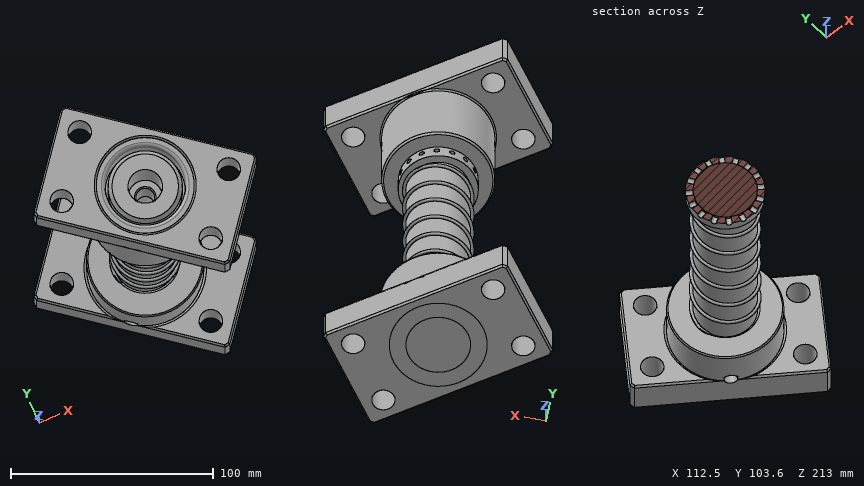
import cadquery as cq
import math

set_angle = -36.383
total_height = 212.98

plate_length = 100.0
plate_width = 58.0
plate_thickness = 20.0
corner_chamfer = 2.0
face_chamfer = 1.0
bolt_spacing_x = 76.0
bolt_spacing_y = 36.0
bolt_hole_diameter = 11.5
bore_radius = 24.2
bore_chamfer = 1.0
upper_plate_bottom = total_height - plate_thickness

collar_radius = plate_width / 2
collar_height = 20.0
collar_chamfer = 0.7
collar_top = plate_thickness + collar_height
seat_chamfer = 1.3
collar_bore_chamfer = 1.2
pin_hole_diameter = 7.0
pin_hole_depth = 10.0

pillar_radius = 16.0
pillar_recess = 3.0
pillar_top = total_height - pillar_recess
head_radius = 18.4
head_height = 12.0
head_chamfer = 2.0
tapped_hole_radius = 8.5
tapped_hole_depth = 25.0
core_hole_radius = 4.6
core_hole_chamfer = 0.7
core_hole_depth = 45.0
drill_tip_angle = 118.0
drill_tip_height = core_hole_radius / math.tan(math.radians(drill_tip_angle / 2))

bushing_radius = 28.0
bushing_recess = 0.5
bushing_top = total_height - bushing_recess
bushing_length_below_plate = 40.0
bushing_bottom = upper_plate_bottom - bushing_length_below_plate
bushing_bore_radius = 19.8
bushing_bore_rounding = 1.9
shoulder_flare = 0.8
bushing_end_chamfer = 1.0

cage_radius = bushing_bore_radius
cage_protrusion = 8.2
cage_bottom = bushing_bottom - cage_protrusion
cage_top = pillar_top - head_height
ball_count = 16
ball_pocket_diameter = 2.7
ball_row_offset = 5.0
ball_row_height = cage_bottom + ball_row_offset

wire_diameter = 1.7
spring_clearance = 0.05
spring_pitch = 15.93
spring_radius = pillar_radius + spring_clearance + wire_diameter / 2
spring_start_angle = 180.0 - set_angle
spring_start_offset = 0.2


def cylinder(radius, bottom, top):
    return cq.Workplane("XY").workplane(offset=bottom).circle(radius).extrude(top - bottom)


def cone(bottom_radius, top_radius, bottom, top):
    solid = cq.Solid.makeCone(bottom_radius, top_radius, top - bottom, cq.Vector(0, 0, bottom))
    return cq.Workplane("XY").newObject([solid])


def turn(body, angle):
    return body.rotate((0, 0, 0), (0, 0, 1), angle)


def make_plate():
    """Drilled plate with its bore, its outer face down on Z = 0."""
    plate = cq.Workplane("XY").rect(plate_length, plate_width).extrude(plate_thickness)
    plate = plate.edges("|Z").chamfer(corner_chamfer)
    plate = plate.faces("<Z or >Z").chamfer(face_chamfer)
    bolts = (
        cq.Workplane("XY")
        .rect(bolt_spacing_x, bolt_spacing_y, forConstruction=True)
        .vertices()
        .circle(bolt_hole_diameter / 2)
        .extrude(plate_thickness)
    )
    return plate.cut(bolts).cut(cylinder(bore_radius, 0, plate_thickness))


def make_pin_hole():
    """Radial pin hole where the collar meets the front of the lower plate."""
    return (
        cq.Workplane("XZ", origin=(0, -plate_width / 2, plate_thickness))
        .circle(pin_hole_diameter / 2)
        .extrude(pin_hole_depth, both=True)
    )


def make_lower_plate():
    """Plate with a conical-sided shallow seat for the collar."""
    seat = cone(collar_radius, collar_radius + seat_chamfer, plate_thickness - seat_chamfer, plate_thickness)
    return make_plate().cut(seat).cut(make_pin_hole())


def make_upper_plate():
    """Plate turned over, with a chamfered bore at its top."""
    plate = make_plate().mirror("XY").translate((0, 0, total_height))
    rim = cone(bore_radius, bore_radius + bore_chamfer, total_height - bore_chamfer, total_height)
    return plate.cut(rim)


def make_holder():
    """Collar that stands on the lower plate, with a spigot through the plate bore."""
    collar = cylinder(collar_radius, plate_thickness - seat_chamfer, collar_top)
    collar = collar.faces(">Z").chamfer(collar_chamfer)
    spigot = cylinder(bore_radius, 0, plate_thickness)
    holder = collar.union(spigot).cut(cylinder(pillar_radius, 0, collar_top))
    holder = holder.faces(">Z").edges(cq.selectors.RadiusNthSelector(0)).chamfer(collar_bore_chamfer)
    return holder.cut(make_pin_hole())


def make_pillar():
    """Plain pillar with a wider chamfered head and a stepped blind hole in its top."""
    head = cylinder(head_radius, pillar_top - head_height, pillar_top).faces(">Z").chamfer(head_chamfer)
    core_bottom = pillar_top - core_hole_depth
    hole = (
        cq.Workplane("XZ")
        .moveTo(0, pillar_top)
        .lineTo(tapped_hole_radius, pillar_top)
        .lineTo(tapped_hole_radius, pillar_top - tapped_hole_depth)
        .lineTo(core_hole_radius + core_hole_chamfer, pillar_top - tapped_hole_depth)
        .lineTo(core_hole_radius, pillar_top - tapped_hole_depth - core_hole_chamfer)
        .lineTo(core_hole_radius, core_bottom)
        .lineTo(0, core_bottom - drill_tip_height)
        .close()
        .revolve(360, (0, 0, 0), (0, 1, 0))
    )
    return cylinder(pillar_radius, 0, pillar_top).union(head).cut(hole)


def make_bushing():
    """Sleeve below the upper plate, with a spigot that fills the plate bore."""
    body = cylinder(bushing_radius, bushing_bottom, upper_plate_bottom)
    body = body.faces("<Z").chamfer(bushing_end_chamfer)
    flare_radius = bushing_radius + shoulder_flare
    flare_bottom = upper_plate_bottom - shoulder_flare
    body = body.union(cone(bushing_radius, flare_radius, flare_bottom, upper_plate_bottom))
    body = body.union(cylinder(bore_radius, upper_plate_bottom, bushing_top))
    body = body.cut(cylinder(bushing_bore_radius, bushing_bottom, bushing_top))
    return body.faces(">Z").edges(cq.selectors.RadiusNthSelector(0)).fillet(bushing_bore_rounding)


def make_cage():
    """Thin sleeve between the pillar and the bushing, with one ring of ball pockets."""
    cage = cylinder(cage_radius, cage_bottom, cage_top).cut(cylinder(pillar_radius, cage_bottom, cage_top))
    pocket = cq.Workplane("YZ").center(0, ball_row_height).circle(ball_pocket_diameter / 2)
    pocket = pocket.extrude(cage_radius)
    for index in range(ball_count):
        cage = cage.cut(turn(pocket, index * 360 / ball_count))
    return cage


def make_spring():
    """Left-hand coil with spare turns, cut flat where it rests on the collar and on the cage."""
    start = collar_top + spring_start_offset - spring_pitch
    height = cage_bottom - start + spring_pitch
    helix = cq.Wire.makeHelix(spring_pitch, height, spring_radius, lefthand=True)
    coil = cq.Workplane("XZ").center(spring_radius, 0).circle(wire_diameter / 2)
    coil = coil.sweep(cq.Workplane(obj=helix), isFrenet=True)
    coil = turn(coil, spring_start_angle).translate((0, 0, start))
    return coil.intersect(cylinder(spring_radius * 2, collar_top, cage_bottom))


bodies = [
    make_lower_plate(),
    make_holder(),
    make_pillar(),
    make_spring(),
    make_cage(),
    make_bushing(),
    make_upper_plate(),
]
result = cq.Compound.makeCompound([turn(body, set_angle).val() for body in bodies])